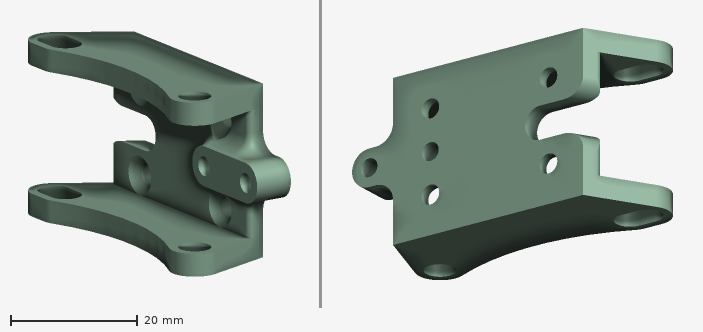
import math

import cadquery as cq


HEIGHT = 28.64
FLANGE_THICKNESS = 3.76
CLEAR_HEIGHT = HEIGHT - 2 * FLANGE_THICKNESS
GAP_BOX_SIDE = 80.0
PLATE_THICKNESS = 3.35
PLATE_EDGE_RADIUS = 0.86

EAR_RADIUS = 4.1
EAR_OFFSET = 18.4
EAR_Y = -13.08
EAR_SLOT_TRAVEL = 3.25
EAR_HOLE_DIAMETER = 5.3
CONCAVE_RADIUS = 40.0

MOUNT_LEFT_X = -11.7
MOUNT_RIGHT_X = 11.16
MOUNT_Z = 7.37
MOUNT_HOLE_DIAMETER = 3.4
COUNTERSINK_DIAMETER = 6.4
COUNTERSINK_ANGLE = 90.0

NOTCH_WIDTH = 5.84
NOTCH_END_X = -7.16
NOTCH_MOUTH_RADIUS = 3.26

ARM_FRONT_Y = -6.45
ARM_RADIUS = 3.3
ARM_HOLE_SPACING = 11.86
ARM_HOLE_DIAMETER = 3.2
ARM_FILLET_RADIUS = 3.27
ARM_TRIM = 2.0
PICK_MARGIN = 0.1


def tangent_point(corner_x, center_x, side):
    """Touch point on an ear circle of the line from a back corner (side: -1 left, +1 right)."""
    dx = corner_x - center_x
    dy = -EAR_Y
    direction = math.atan2(dy, dx)
    swing = math.acos(EAR_RADIUS / math.hypot(dx, dy))
    angle = direction - side * swing
    return (center_x + EAR_RADIUS * math.cos(angle), EAR_Y + EAR_RADIUS * math.sin(angle))


def flange_touch_points():
    """Ends of the two slanted flange edges that start at the back corners."""
    left_touch = tangent_point(-EAR_OFFSET, -EAR_OFFSET - EAR_SLOT_TRAVEL, -1)
    right_touch = tangent_point(EAR_OFFSET, EAR_OFFSET, 1)
    return left_touch, right_touch


def flange_outline():
    """Flange profile in the XY plane, on the mid-height plane."""
    ear_bottom = EAR_Y - EAR_RADIUS
    slot_far_x = -EAR_OFFSET - EAR_SLOT_TRAVEL
    left_touch, right_touch = flange_touch_points()

    reach = CONCAVE_RADIUS + EAR_RADIUS
    arc_center_y = EAR_Y - math.sqrt(reach**2 - EAR_OFFSET**2)
    crown_y = arc_center_y + CONCAVE_RADIUS
    blend_x = EAR_OFFSET * CONCAVE_RADIUS / reach
    blend_y = arc_center_y + (EAR_Y - arc_center_y) * CONCAVE_RADIUS / reach
    half_blend = math.asin(EAR_OFFSET / reach) / 2
    ear_mid_x = -EAR_OFFSET + EAR_RADIUS * math.sin(half_blend)
    ear_mid_y = EAR_Y - EAR_RADIUS * math.cos(half_blend)

    return (
        cq.Workplane("XY")
        .moveTo(-EAR_OFFSET, 0)
        .lineTo(*left_touch)
        .threePointArc((slot_far_x - EAR_RADIUS, EAR_Y), (slot_far_x, ear_bottom))
        .lineTo(-EAR_OFFSET, ear_bottom)
        .threePointArc((ear_mid_x, ear_mid_y), (-blend_x, blend_y))
        .threePointArc((0, crown_y), (blend_x, blend_y))
        .threePointArc((EAR_OFFSET, ear_bottom), right_touch)
        .lineTo(EAR_OFFSET, 0)
        .close()
    )


def make_flanges():
    flanges = flange_outline().extrude(HEIGHT / 2, both=True)
    gap = cq.Workplane("XY").box(GAP_BOX_SIDE, GAP_BOX_SIDE, CLEAR_HEIGHT)
    slot_length = EAR_SLOT_TRAVEL + EAR_HOLE_DIAMETER
    ear_holes = (
        cq.Workplane("XY")
        .center(-EAR_OFFSET - EAR_SLOT_TRAVEL / 2, EAR_Y)
        .slot2D(slot_length, EAR_HOLE_DIAMETER)
        .extrude(HEIGHT / 2, both=True)
        .union(
            cq.Workplane("XY")
            .center(EAR_OFFSET, EAR_Y)
            .circle(EAR_HOLE_DIAMETER / 2)
            .extrude(HEIGHT / 2, both=True)
        )
    )
    return flanges.cut(gap).cut(ear_holes)


def make_plate():
    """Base plate between the flanges, sharing their slanted end faces."""
    left_touch, right_touch = flange_touch_points()
    left_spread = (left_touch[0] + EAR_OFFSET) * PLATE_THICKNESS / -left_touch[1]
    right_spread = (right_touch[0] - EAR_OFFSET) * PLATE_THICKNESS / -right_touch[1]
    sharp_plate = (
        cq.Workplane("XY")
        .polyline(
            [
                (-EAR_OFFSET, 0),
                (EAR_OFFSET, 0),
                (EAR_OFFSET + right_spread, -PLATE_THICKNESS),
                (-EAR_OFFSET + left_spread, -PLATE_THICKNESS),
            ]
        )
        .close()
        .extrude(CLEAR_HEIGHT / 2, both=True)
    )
    rounded_plate = sharp_plate.edges("|Z and <Y").fillet(PLATE_EDGE_RADIUS)

    notch_length = 2 * EAR_OFFSET
    notch = (
        cq.Workplane("XZ")
        .center(NOTCH_END_X - notch_length / 2, 0)
        .slot2D(notch_length, NOTCH_WIDTH)
        .extrude(PLATE_THICKNESS)
    )
    mouth_edges = cq.selectors.BoxSelector(
        (-2 * EAR_OFFSET, -PLATE_THICKNESS, -NOTCH_WIDTH),
        (-EAR_OFFSET, 0, NOTCH_WIDTH),
    )
    notched_plate = sharp_plate.cut(notch).edges(mouth_edges).fillet(NOTCH_MOUTH_RADIUS)
    return notched_plate.intersect(rounded_plate)


def add_arm(plate):
    """Add the arm with a concave fillet all around its root."""
    arm_length = ARM_HOLE_SPACING + 2 * ARM_RADIUS
    arm_center_x = MOUNT_RIGHT_X + ARM_HOLE_SPACING / 2
    arm = (
        cq.Workplane("XZ")
        .center(arm_center_x, 0)
        .slot2D(arm_length, 2 * ARM_RADIUS)
        .extrude(-ARM_FRONT_Y + ARM_TRIM)
    )
    joined = plate.union(arm)
    root_edges = cq.selectors.BoxSelector(
        (MOUNT_RIGHT_X - 2 * ARM_RADIUS, -PLATE_THICKNESS - PICK_MARGIN, -ARM_RADIUS - PICK_MARGIN),
        (EAR_OFFSET + ARM_RADIUS, -PICK_MARGIN, ARM_RADIUS + PICK_MARGIN),
    )
    filleted = joined.edges(root_edges).fillet(ARM_FILLET_RADIUS)
    trim = (
        cq.Workplane("XZ", origin=(arm_center_x, ARM_FRONT_Y, 0))
        .rect(2 * arm_length, HEIGHT)
        .extrude(2 * ARM_TRIM)
    )
    return filleted.cut(trim)


def drill_arm(body):
    holes = (
        cq.Workplane("XZ")
        .pushPoints([(MOUNT_RIGHT_X, 0), (MOUNT_RIGHT_X + ARM_HOLE_SPACING, 0)])
        .circle(ARM_HOLE_DIAMETER / 2)
        .extrude(-ARM_FRONT_Y)
    )
    return body.cut(holes)


def countersink_tool():
    """Revolved cutter: drill, cone, then a straight bore that clears the arm fillet."""
    hole_radius = MOUNT_HOLE_DIAMETER / 2
    sink_radius = COUNTERSINK_DIAMETER / 2
    sink_depth = (sink_radius - hole_radius) / math.tan(math.radians(COUNTERSINK_ANGLE / 2))
    return (
        cq.Workplane("XY")
        .polyline(
            [
                (0, 0),
                (hole_radius, 0),
                (hole_radius, -PLATE_THICKNESS + sink_depth),
                (sink_radius, -PLATE_THICKNESS),
                (sink_radius, ARM_FRONT_Y),
                (0, ARM_FRONT_Y),
            ]
        )
        .close()
        .revolve(360, (0, 0), (0, 1))
    )


def drill_mounting_holes(body):
    tool = countersink_tool()
    for x in (MOUNT_LEFT_X, MOUNT_RIGHT_X):
        for z in (-MOUNT_Z, MOUNT_Z):
            body = body.cut(tool.translate((x, 0, z)))
    return body


plate = drill_arm(drill_mounting_holes(add_arm(make_plate())))
result = make_flanges().union(plate)